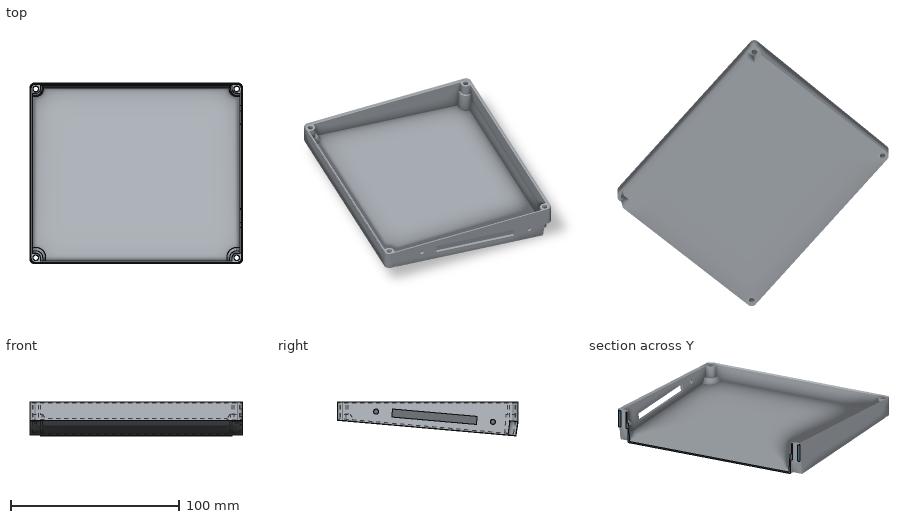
import cadquery as cq
import math

length_x = 126.3
width_y = 107.25
depth = 20.24
corner_radius = 3.0
wall = 1.5
floor_thickness = 1.1

floor_angle = math.radians(5.0)
floor_slope = math.tan(floor_angle)
back_y = width_y / 2
front_y = -back_y
break_z = -11.8
inner_break_z = -11.5
lean_run = 1.3
toe_y = back_y - lean_run
lean_slope = lean_run / (depth + break_z)

lip_top_width = 0.15
lip_base_width = 0.8
lip_height = 0.8

screw_inset = 3.5
screw_diameter = 3.2
post_radius = 2.7
socket_top = -7.5
front_socket_radius = 4.15
front_socket_draft = 32.0
back_socket_radius = 3.7
back_socket_draft = 4.0

recess_ceiling = -11.3
recess_diameter = 5.8
recess_reach_x = screw_inset + recess_diameter / 2
recess_reach_y = 4.8

slot_y = 4.0
slot_z = -8.85
slot_length = 50.4
slot_height = 4.8
connector_screw_spacing = 69.6
connector_screw_diameter = 3.0

corners = [(sx, sy) for sx in (-1, 1) for sy in (-1, 1)]


def bottom_z(y):
    """Height of the sloping underside at a given y."""
    return -depth + floor_slope * (toe_y - y)


def back_wall_y(z):
    """Outer face of the leaning lower back wall at a given z."""
    return back_y + lean_slope * (z - break_z)


def side_prism(inset, bottom_rise, knee_z, half_x):
    """Side profile with inset walls, a raised bottom and the back wall bending at knee_z."""
    floor_y = toe_y - inset
    profile = [
        (front_y + inset, 0),
        (back_y - inset, 0),
        (back_y - inset, knee_z),
        (floor_y, bottom_z(floor_y) + bottom_rise),
        (front_y + inset, bottom_z(front_y + inset) + bottom_rise),
    ]
    return cq.Workplane("YZ").polyline(profile).close().extrude(half_x, both=True)


def tray_outline(inset):
    """Tray outline moved inwards by the given inset."""
    outline = cq.Sketch().rect(length_x - 2 * inset, width_y - 2 * inset)
    return outline.vertices().fillet(corner_radius - inset)


def corner_post(sx, sy, radius, top, draft):
    """Rounded square column centred on a tray corner, widening downwards by the draft angle."""
    half_side = screw_inset + radius
    outline = cq.Sketch().rect(2 * half_side, 2 * half_side).vertices().fillet(radius)
    plane = cq.Workplane("XY", origin=(sx * length_x / 2, sy * width_y / 2, top))
    return plane.placeSketch(outline).extrude(-depth - top, taper=-draft)


def make_shell(outer):
    """Hollow the outer body from above, leaving walls and floor."""
    cavity = side_prism(wall, floor_thickness, inner_break_z, length_x / 2 - wall)
    return outer.cut(cavity)


def add_posts(body, outer):
    """A narrow screw post over a wider socket in every corner."""
    for sx, sy in corners:
        socket_radius = back_socket_radius if sy > 0 else front_socket_radius
        socket_draft = back_socket_draft if sy > 0 else front_socket_draft
        post = corner_post(sx, sy, post_radius, 0, 0)
        socket = corner_post(sx, sy, socket_radius, socket_top, socket_draft)
        body = body.union(post.intersect(outer)).union(socket.intersect(outer))
    return body


def cut_rim(body):
    """Lower the wall tops inside a thin lip whose inner side slopes."""
    draft = math.degrees(math.atan2(lip_base_width - lip_top_width, lip_height))
    opening = cq.Workplane("XY").placeSketch(tray_outline(lip_top_width))
    return body.cut(opening.extrude(-lip_height, taper=draft))


def recess(sx, sy):
    """Screw head recess, open to the outside and below."""
    if sy > 0:
        inner_top = back_y - recess_reach_y
        inner_bottom = back_wall_y(-depth) - recess_reach_y
        outer_ceiling = recess_ceiling - floor_slope * recess_reach_y
    else:
        inner_top = inner_bottom = front_y + recess_reach_x
        outer_ceiling = recess_ceiling
    profile = [
        (sy * back_y, outer_ceiling),
        (inner_top, recess_ceiling),
        (inner_bottom, -depth),
        (sy * back_y, -depth),
    ]
    start_x = sx * (length_x / 2 - recess_reach_x)
    plane = cq.Workplane("YZ", origin=(start_x, 0, 0))
    return plane.polyline(profile).close().extrude(sx * recess_reach_x)


def cut_screws(body):
    """Head recesses from below and through holes along the posts."""
    for sx, sy in corners:
        body = body.cut(recess(sx, sy))
    screw_x = length_x / 2 - screw_inset
    screw_y = width_y / 2 - screw_inset
    points = [(sx * screw_x, sy * screw_y) for sx, sy in corners]
    return body.cut(cq.Workplane("XY").pushPoints(points).circle(screw_diameter / 2).extrude(-depth))


def cut_connector(body):
    """Connector slot with a screw hole at each end, parallel to the sloping floor."""
    cut_depth = 3 * wall
    plane = cq.Plane(
        origin=(length_x / 2 - 2 * wall, slot_y, slot_z),
        xDir=(0, math.cos(floor_angle), -math.sin(floor_angle)),
        normal=(1, 0, 0),
    )
    body = body.cut(cq.Workplane(plane).rect(slot_length, slot_height).extrude(cut_depth))
    half = connector_screw_spacing / 2
    screws = cq.Workplane(plane).pushPoints([(-half, 0), (half, 0)])
    return body.cut(screws.circle(connector_screw_diameter / 2).extrude(cut_depth))


rounded_column = cq.Workplane("XY").placeSketch(tray_outline(0)).extrude(-depth)
outer = side_prism(0, 0, break_z, length_x / 2).intersect(rounded_column)
result = make_shell(outer)
result = add_posts(result, outer)
result = cut_rim(result)
result = cut_screws(result)
result = cut_connector(result)